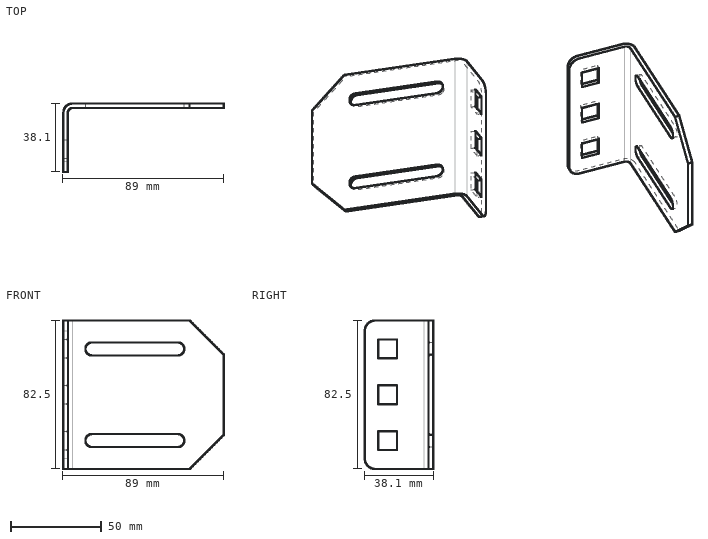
import cadquery as cq

plate_length = 89.0
flange_depth = 38.1
height = 82.5

sheet = 2.6
bend_inner_radius = 2.6
bend_outer_radius = bend_inner_radius + sheet

plate_chamfer = 19.0
flange_corner_radius = 6.0

hole_pitch = 25.4
slot_width = 7.1
slot_travel = 47.6
slot_offset = 15.9
slot_length = slot_travel + slot_width
square_side = 10.3
square_edge_distance = hole_pitch / 2

x_min = -plate_length / 2
x_max = plate_length / 2
y_min = -flange_depth / 2
y_max = flange_depth / 2
cut_depth = 4 * sheet


def bent_sheet():
    """L-section in XY, plate along +X and flange along -Y, extruded along Z."""
    return (
        cq.Workplane("XY")
        .workplane(offset=-height / 2)
        .moveTo(x_min, y_min)
        .lineTo(x_min, y_max - bend_outer_radius)
        .radiusArc((x_min + bend_outer_radius, y_max), bend_outer_radius)
        .lineTo(x_max, y_max)
        .lineTo(x_max, y_max - sheet)
        .lineTo(x_min + bend_outer_radius, y_max - sheet)
        .radiusArc((x_min + sheet, y_max - bend_outer_radius), -bend_inner_radius)
        .lineTo(x_min + sheet, y_min)
        .close()
        .extrude(height)
    )


def shape_corners(body):
    """Bevel the plate's free corners and round the flange's free corners."""
    body = body.faces(">X").edges("|Y").chamfer(plate_chamfer)
    return body.faces("<Y").edges("|X").fillet(flange_corner_radius)


def plate_slots():
    """Two long slots through the plate, running along X."""
    slot_x = x_min + slot_offset + slot_travel / 2
    return (
        cq.Workplane("XZ", origin=(0, y_max - sheet / 2, 0))
        .pushPoints([(slot_x, -hole_pitch), (slot_x, hole_pitch)])
        .slot2D(slot_length, slot_width)
        .extrude(cut_depth / 2, both=True)
    )


def flange_squares():
    """Three square holes through the flange, in a column along Z."""
    square_y = y_min + square_edge_distance
    return (
        cq.Workplane("YZ", origin=(x_min + sheet / 2, 0, 0))
        .pushPoints([(square_y, row * hole_pitch) for row in (-1, 0, 1)])
        .rect(square_side, square_side)
        .extrude(cut_depth / 2, both=True)
    )


result = shape_corners(bent_sheet()).cut(plate_slots()).cut(flange_squares())